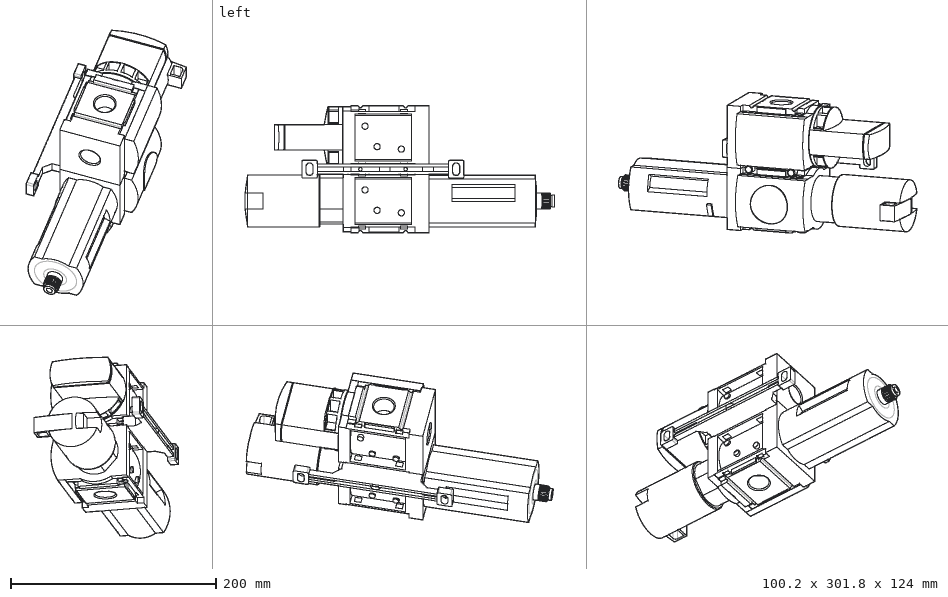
import cadquery as cq
import math


stack_height = 124.0
module_height = stack_height / 2
half_height = module_height / 2
housing_width = 62.0
half_width = housing_width / 2
housing_length = 84.0

relief_depth = 5.7
relief_front = 14.0
relief_back = 76.5
pad_half_width = 24.5
bar_half_width = 19.5
bar_front = 68.2
step_depth = 5.0
corner_depth = 4.5
collar_diameter = 60.0
groove_depth = 3.0
groove_tip_radius = 1.2
groove_half_width = 2.5
groove_places = (23.0, 67.0)
lug_depth = 1.8
lug_drop = 0.5
lug_front = 29.5
lug_back = 59.0
hook_pocket_width = 5.5
hook_pocket_length = 6.5
hook_pocket_depth = 1.8
hook_shift = 1.5

outline_half_width = 28.5
flat_half_width = 21.7
flat_height = 21.5
ridge_radius = 25.5

pocket_front = 17.2
pocket_back = 72.5
pocket_half_height = 23.0
pocket_floor = 18.7
boss_diameter = 6.0
boss_face = 29.0
boss_places = ((62.5, 11.0), (50.7, -9.0), (27.2, -11.5))

port_diameter = 20.0
port_mouth_chamfer = 1.2
port_depth = 18.0
top_port_y = 45.0

cover_half_height = 25.7
upper_cover_edge = 40.5
upper_cover_crown = 45.3
lower_cover_edge = 38.3
lower_cover_crown = 45.0
lens_diameter = 38.3
lens_rise = 1.2

bowl_length = 103.5
window_start = 22.0
window_length = 61.5
window_bottom = -0.3
window_top = 16.3
window_mouth_top = 24.8
window_wall_slope = 0.5
window_core_diameter = 45.3
window_floor = 16.5
latch_start = 17.0
latch_length = 4.8
bowl_end_diameter = 43.5
cone_small_diameter = 23.5
cone_height = 1.2
drain_tip = -122.3
drain_diameter = 15.7
drain_neck_diameter = 11.0
drain_flange_diameter = 11.8
drain_bore_diameter = 6.0
drain_bore_depth = 6.0
drain_collar_length = 5.0
drain_gap = 1.2
drain_knurl_length = 7.2
knurl_count = 16
knurl_width = 1.2
knurl_depth = 1.0
knurl_end_chamfer = 1.0

neck_diameter = 45.0
neck_end = 106.3
neck_facet_top = -7.5
neck_facet_bottom = -20.5
knob_diameter = 51.0
knob_tip = 179.5
knob_dome = 2.7
knob_base_chamfer = 1.0
lock_length = 15.0
lock_height = 15.7
lock_notch_floor = -11.0
lock_bevel_run = 7.5
lock_tab_end = 39.0
lock_window_near = 27.0
lock_wall = 2.0
lock_corner_radius = 3.0

collar_gap = 0.5
collar_gap_depth = 0.5
handle_diameter = 61.0
collar_end = 98.7
collar_dome = 4.5
handle_thickness = 24.8
handle_side_end = 146.5
handle_crown_end = 151.0
handle_groove_y = 140.7
handle_groove_width = 1.0
handle_groove_depth = 0.5
grip_front = 88.0
grip_back = 97.8
grip_floor = 13.5
grip_spans = ((1.8, 13.5), (16.3, 26.3))

bracket_height = 10.3
bracket_back_face = -52.8
arm_front_face = -46.5
slope_run = 7.5
bracket_low_end = -26.3
bracket_high_end = 116.5
web_front = 0.3
web_back = 79.0
tongue_front = relief_front
foot_length = 15.0
foot_height = 17.5
foot_back_face = -54.0
foot_corner = 1.5
foot_slot_width = 6.5
foot_slot_height = 12.0
channel_height = 4.2
channel_depth = 2.5
cavity_wall = 3.0
post_diameter = 10.3
post_y = 43.2

bolt_diameter = 3.3
bolt_head_diameter = 7.8
bolt_head_rise = 1.8
bolt_head_edge = 1.0


def block(x0, x1, y0, y1, z0, z1):
    """Box between two opposite corners."""
    return cq.Workplane("XY").box(x1 - x0, y1 - y0, z1 - z0, centered=False).translate((x0, y0, z0))


def along_y(outline, y0, y1):
    """Extrude an XZ sketch, drawn on the plane Y = 0, so that it fills y0 to y1."""
    return outline.extrude(-(y1 - y0)).translate((0, y0, 0))


def rod_y(diameter, y0, y1):
    return along_y(cq.Workplane("XZ").circle(diameter / 2), y0, y1)


def rod_x(diameter, x0, x1, y, z):
    return cq.Workplane("YZ", origin=(x0, y, z)).circle(diameter / 2).extrude(x1 - x0)


def turned_y(points):
    """Solid of revolution about the Y axis from (radius, y) points."""
    return cq.Workplane("XY").polyline(points).close().revolve(360, (0, 0, 0), (0, 1, 0))


def dome_y(diameter, y, rise):
    """Spherical cap standing on a disc at y and bulging toward +Y."""
    radius = diameter / 2
    sphere_radius = (radius**2 + rise**2) / (2 * rise)
    sphere = cq.Workplane("XY").sphere(sphere_radius).translate((0, y + rise - sphere_radius, 0))
    return sphere.intersect(rod_y(diameter, y, y + rise))


def bowl_outline_prism(y0, y1):
    """Barrel-sided bar, flat above and below, with a rounded ridge along each flat."""
    sides = (
        cq.Workplane("XZ")
        .moveTo(-flat_half_width, flat_height)
        .lineTo(flat_half_width, flat_height)
        .threePointArc((outline_half_width, 0), (flat_half_width, -flat_height))
        .lineTo(-flat_half_width, -flat_height)
        .threePointArc((-outline_half_width, 0), (-flat_half_width, flat_height))
        .close()
    )
    return along_y(sides, y0, y1).union(rod_y(2 * ridge_radius, y0, y1))


def face_relief():
    """Material removed from the top face of a housing."""
    floor = half_height - relief_depth
    step = half_height - step_depth
    corner = half_height - corner_depth
    cut = block(-half_width, half_width, relief_front, relief_back, floor, half_height)
    cut = cut.cut(block(-pad_half_width, pad_half_width, relief_front, relief_back, floor, half_height))
    lug_reach = pad_half_width + lug_depth
    cut = cut.cut(block(-lug_reach, lug_reach, lug_front, lug_back, floor, half_height - lug_drop))
    corners = block(-pad_half_width, pad_half_width, bar_front, relief_back, corner, half_height)
    corners = corners.cut(block(-bar_half_width, bar_half_width, bar_front, relief_back, corner, half_height))
    back_step = block(-half_width, half_width, relief_back, housing_length, step, half_height)
    back_step = back_step.cut(rod_y(collar_diameter, relief_back, housing_length))
    cut = cut.union(corners).union(back_step)
    for y in groove_places:
        groove = (
            cq.Workplane("YZ", origin=(-pad_half_width, 0, 0))
            .polyline([
                (y - groove_half_width, half_height),
                (y + groove_half_width, half_height),
                (y, half_height - groove_depth),
            ])
            .close()
            .extrude(2 * pad_half_width)
            .edges("<Z and |X")
            .fillet(groove_tip_radius)
        )
        cut = cut.union(groove)
    return cut.union(hook_pockets(floor))


def hook_pockets(floor):
    """Small pockets where the grooves run out on the -X side."""
    pockets = cq.Workplane("XY")
    inward_shifts = (-hook_shift, hook_shift)
    for y, shift in zip(reversed(groove_places), inward_shifts):
        middle = y + shift
        pockets = pockets.union(block(
            -pad_half_width - hook_pocket_width / 2, -pad_half_width + hook_pocket_width / 2,
            middle - hook_pocket_length / 2, middle + hook_pocket_length / 2,
            floor - hook_pocket_depth, floor + hook_pocket_depth,
        ))
    return pockets


def side_pocket():
    """Rectangular opening on the -X side around the barrel-shaped core and its round bosses."""
    opening = block(
        -half_width, -pocket_floor, pocket_front, pocket_back, -pocket_half_height, pocket_half_height
    )
    opening = opening.cut(bowl_outline_prism(pocket_front, pocket_back))
    for y, z in boss_places:
        opening = opening.cut(rod_x(boss_diameter, -boss_face, -pocket_floor, y, z))
    return opening


def port():
    """Blind hole down from Z = 0 with a chamfered mouth."""
    mouth_radius = port_diameter / 2 + port_mouth_chamfer
    bore = cq.Workplane("XY").circle(port_diameter / 2).extrude(-port_depth)
    mouth = cq.Solid.makeCone(
        mouth_radius, port_diameter / 2, port_mouth_chamfer, cq.Vector(0, 0, 0), cq.Vector(0, 0, -1)
    )
    return bore.union(cq.Workplane(mouth))


def housing():
    """Square housing with the same relief above and below."""
    body = block(-half_width, half_width, 0, housing_length, -half_height, half_height)
    relief = face_relief()
    return body.cut(relief).cut(relief.mirror("XY")).cut(side_pocket())


def cover(edge, crown):
    """Cover on the +X face with a crowned front."""
    outline = (
        cq.Workplane("XZ")
        .moveTo(half_width, -cover_half_height)
        .lineTo(edge, -cover_half_height)
        .threePointArc((crown, 0), (edge, cover_half_height))
        .lineTo(half_width, cover_half_height)
        .close()
    )
    return along_y(outline, relief_front, housing_length)


def bowl():
    body = bowl_outline_prism(-bowl_length, 0)
    window = along_y(
        cq.Workplane("XZ")
        .polyline([
            (-outline_half_width, window_bottom),
            (-outline_half_width, window_top),
            (-window_mouth_top, window_top),
            (-window_floor, window_top - window_wall_slope * (window_mouth_top - window_floor)),
            (-window_floor, window_bottom + window_wall_slope * (outline_half_width - window_floor)),
        ])
        .close(),
        -window_start - window_length,
        -window_start,
    ).cut(rod_y(window_core_diameter, -bowl_length, 0))
    latch = along_y(
        cq.Workplane("XZ").polyline([(27.2, -7.2), (30.2, -8.0), (25.0, -20.5), (21.7, -20.5)]).close(),
        -latch_start - latch_length,
        -latch_start,
    )
    return body.cut(window).cut(window.mirror("YZ")).union(latch)


def drain():
    """Conical bowl end and the knurled drain screw on it."""
    cone_end = -bowl_length - cone_height
    collar_end_y = cone_end - drain_collar_length
    knurl_start = collar_end_y - drain_gap
    knurl_end = knurl_start - drain_knurl_length
    flange_start = knurl_end - drain_gap
    cone = turned_y([
        (0, -bowl_length),
        (bowl_end_diameter / 2, -bowl_length),
        (cone_small_diameter / 2, cone_end),
        (0, cone_end),
    ])
    knurl = rod_y(drain_diameter, knurl_end, knurl_start).faces("<Y").chamfer(knurl_end_chamfer)
    notch = block(
        drain_diameter / 2 - knurl_depth, drain_diameter / 2,
        knurl_end, knurl_start, -knurl_width / 2, knurl_width / 2,
    )
    for i in range(knurl_count):
        knurl = knurl.cut(notch.rotate((0, 0, 0), (0, 1, 0), i * 360 / knurl_count))
    return (
        cone.union(rod_y(drain_diameter, collar_end_y, cone_end))
        .union(rod_y(drain_neck_diameter, drain_tip, collar_end_y))
        .union(knurl)
        .union(rod_y(drain_flange_diameter, drain_tip, flange_start))
        .cut(rod_y(drain_bore_diameter, drain_tip, drain_tip + drain_bore_depth))
    )


def knob_neck():
    """Round neck with one flat facet low on the -X side."""
    radius = neck_diameter / 2
    facet = (
        cq.Workplane("XZ")
        .moveTo(-math.sqrt(radius**2 - neck_facet_top**2), neck_facet_top)
        .lineTo(-math.sqrt(radius**2 - neck_facet_bottom**2), neck_facet_bottom)
        .lineTo(-radius, -radius)
        .lineTo(-radius, neck_facet_top)
        .close()
    )
    neck = rod_y(neck_diameter, housing_length, neck_end)
    return neck.cut(along_y(facet, housing_length, neck_end))


def lock_tab(lock_start, rim):
    """Padlock loop that stands out of the +X side of the knob."""
    tab = (
        cq.Workplane("XY", origin=(0, 0, -lock_height / 2))
        .moveTo(0, lock_start)
        .lineTo(lock_tab_end, lock_start)
        .lineTo(lock_tab_end, rim)
        .threePointArc((lock_tab_end / 2, knob_tip - knob_dome / 4), (0, knob_tip))
        .close()
        .extrude(lock_height)
    )
    opening = block(
        lock_window_near, lock_tab_end - lock_wall, lock_start + lock_wall, rim - lock_wall,
        -lock_height / 2, lock_height / 2,
    )
    return tab.cut(opening.edges("|Z and >X and >Y").fillet(lock_corner_radius))


def knob():
    rim = knob_tip - knob_dome
    lock_start = rim - lock_length
    grip = rod_y(knob_diameter, neck_end, rim).faces("<Y").chamfer(knob_base_chamfer)
    grip = grip.union(dome_y(knob_diameter, rim, knob_dome))
    notch = block(
        -knob_diameter, lock_notch_floor, lock_start, knob_tip, -lock_height / 2, lock_height / 2
    )
    bevel = (
        cq.Workplane("XY", origin=(0, 0, -lock_height / 2))
        .polyline([
            (lock_notch_floor, rim),
            (lock_notch_floor + lock_bevel_run, knob_tip),
            (lock_notch_floor, knob_tip),
        ])
        .close()
        .extrude(lock_height)
    )
    return grip.cut(notch).cut(bevel).union(lock_tab(lock_start, rim))


def lower_module():
    outer_port = port().mirror("XY").translate((0, top_port_y, -half_height))
    lens_crown = lower_cover_crown + lens_rise
    lens_y = (relief_front + housing_length) / 2
    lens = rod_x(lens_diameter, half_width, lens_crown, lens_y, 0)
    lens = lens.intersect(cover(lower_cover_edge + lens_rise, lens_crown))
    return (
        housing()
        .cut(outer_port)
        .union(cover(lower_cover_edge, lower_cover_crown))
        .union(lens)
        .union(bowl())
        .union(drain())
        .union(knob_neck())
        .union(knob())
        .translate((0, 0, -half_height))
    )


def grip_pockets():
    """Openings in the upper half of the handle collar."""
    pockets = cq.Workplane("XY")
    for near, far in grip_spans:
        pocket = block(near, far, grip_front, grip_back, grip_floor, handle_diameter)
        pockets = pockets.union(pocket).union(pocket.mirror("YZ"))
    return pockets


def rotary_handle():
    """Round collar with a flat handle across it."""
    radius = handle_diameter / 2
    half_thickness = handle_thickness / 2
    collar_start = housing_length + collar_gap
    collar = rod_y(collar_diameter, collar_start, collar_end)
    collar = collar.union(rod_y(collar_diameter - 2 * collar_gap_depth, housing_length, collar_start))
    collar = collar.union(dome_y(collar_diameter, collar_end, collar_dome))
    pockets = grip_pockets()
    collar = collar.cut(pockets).cut(pockets.mirror("XY"))
    paddle = (
        cq.Workplane("XY", origin=(0, 0, -half_thickness))
        .moveTo(-radius, collar_start)
        .lineTo(radius, collar_start)
        .lineTo(radius, handle_side_end)
        .threePointArc((0, handle_crown_end), (-radius, handle_side_end))
        .close()
        .extrude(handle_thickness)
        .intersect(rod_y(handle_diameter, housing_length, handle_crown_end))
    )
    groove_end = handle_groove_y + handle_groove_width
    groove = block(-radius, radius, handle_groove_y, groove_end, -radius, radius)
    core_half = half_thickness - handle_groove_depth
    core = rod_y(handle_diameter - 2 * handle_groove_depth, handle_groove_y, groove_end)
    groove = groove.cut(core.intersect(
        block(-radius, radius, handle_groove_y, groove_end, -core_half, core_half)
    ))
    return collar.union(paddle.cut(groove))


def upper_module():
    outer_port = port().translate((0, top_port_y, half_height))
    front_port = port().rotate((0, 0, 0), (1, 0, 0), 90)
    return (
        housing()
        .cut(outer_port)
        .cut(front_port)
        .union(cover(upper_cover_edge, upper_cover_crown))
        .union(rotary_handle())
        .translate((0, 0, half_height))
    )


def bracket_foot(y):
    foot = block(
        foot_back_face, arm_front_face, y - foot_length / 2, y + foot_length / 2,
        -foot_height / 2, foot_height / 2,
    )
    foot = foot.edges("|X").fillet(foot_corner)
    slot = (
        cq.Workplane("YZ", origin=(foot_back_face, y, 0))
        .slot2D(foot_slot_height, foot_slot_width, 90)
        .extrude(arm_front_face - foot_back_face)
    )
    return foot, slot


def bracket():
    """Channel-shaped wall bar whose web and tongue enter the joint between the modules."""
    web_face = arm_front_face + slope_run
    tongue_tip = -pad_half_width - lug_depth
    bar = (
        cq.Workplane("XY", origin=(0, 0, -bracket_height / 2))
        .polyline([
            (bracket_back_face, bracket_low_end),
            (arm_front_face, bracket_low_end),
            (arm_front_face, web_front - slope_run),
            (web_face, web_front),
            (-half_width, web_front),
            (-half_width, tongue_front),
            (tongue_tip, tongue_front),
            (tongue_tip, web_back),
            (web_face, web_back),
            (arm_front_face, web_back + slope_run),
            (arm_front_face, bracket_high_end),
            (bracket_back_face, bracket_high_end),
        ])
        .close()
        .extrude(bracket_height)
    )
    channel_floor = bracket_back_face + channel_depth
    channel = block(
        bracket_back_face, channel_floor, bracket_low_end, bracket_high_end,
        -channel_height / 2, channel_height / 2,
    )
    cavity_floor = -half_width - cavity_wall
    cavity_run = slope_run + cavity_wall
    cavity = (
        cq.Workplane("XY", origin=(0, 0, -channel_height / 2))
        .polyline([
            (channel_floor, web_front - slope_run + cavity_wall),
            (channel_floor + cavity_run, web_front + cavity_wall + cavity_wall),
            (cavity_floor, web_front + cavity_wall + cavity_wall),
            (cavity_floor, web_back - cavity_wall),
            (channel_floor + cavity_run, web_back - cavity_wall),
            (channel_floor, web_back + slope_run - cavity_wall),
        ])
        .close()
        .extrude(channel_height)
    )
    post = (
        cq.Workplane("XY", origin=(bracket_back_face + post_diameter / 2, post_y, -channel_height / 2))
        .circle(post_diameter / 2)
        .extrude(channel_height)
    )
    body = bar.cut(channel).cut(cavity).union(post)
    for y in (bracket_low_end, bracket_high_end):
        foot, slot = bracket_foot(y)
        body = body.union(foot).cut(slot)
    for y in groove_places:
        body = body.cut(rod_x(bolt_diameter, cavity_floor, tongue_tip, y, 0))
    return body


def clamp_bolt(y):
    """Bolt along X in the grooves of the joint, with its head on the +X side."""
    shank = rod_x(bolt_diameter, -half_width - cavity_wall, pad_half_width, y, 0)
    head = rod_x(bolt_head_diameter, pad_half_width, half_width + bolt_head_rise, y, 0)
    return shank.union(head.faces(">X").chamfer(bolt_head_edge))


lower = lower_module()
upper = upper_module()
wall_bracket = bracket()
bolts = [clamp_bolt(y).val() for y in groove_places]
result = cq.Compound.makeCompound([lower.val(), upper.val(), wall_bracket.val(), *bolts])